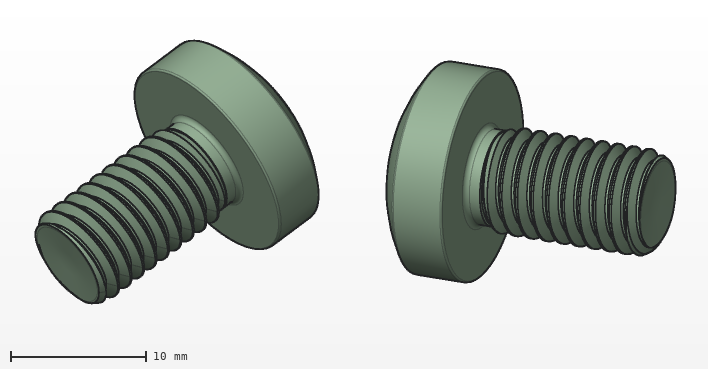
import cadquery as cq
import math


head_radius = 8.0
head_height = 6.0
dome_height = 2.05
crown_radius = 4.08
head_edge_round = 0.15

shank_length = 14.0
neck_radius = 3.6
neck_fillet = 0.4

thread_radius = 4.0
four_turn_advance = 5.0
pitch = four_turn_advance / 4
thread_depth = 0.75
half_flank_angle = math.radians(30)
crest_width = pitch / 8
thread_start = pitch
thread_end_radius = 3.5
end_taper_angle = math.radians(30)

hollow_radius = 3.3
hollow_depth = 0.2

overlap = 0.08


def make_head():
    """Revolved head: flat crown, spherical dome centred on the axis, cylindrical rim."""
    rim_height = head_height - dome_height
    dome_centre = (
        head_height**2 + crown_radius**2 - head_radius**2 - rim_height**2
    ) / (2 * dome_height)
    dome_radius = math.hypot(crown_radius, head_height - dome_centre)
    mid_radius = (crown_radius + head_radius) / 2
    mid_height = dome_centre + math.sqrt(dome_radius**2 - mid_radius**2)
    head = (
        cq.Workplane("XZ")
        .lineTo(head_radius, 0)
        .lineTo(head_radius, -rim_height)
        .threePointArc((mid_radius, -mid_height), (crown_radius, -head_height))
        .lineTo(0, -head_height)
        .close()
        .revolve(360, (0, 0, 0), (0, 1, 0))
    )
    underside_edge = head.faces(">Z").edges()
    dome_edge = head.edges(cq.selectors.BoxSelector(
        (-2 * head_radius, -2 * head_radius, -rim_height - overlap),
        (2 * head_radius, 2 * head_radius, -rim_height + overlap),
    ))
    return underside_edge.add(dome_edge).fillet(head_edge_round)


def make_neck():
    """Plain neck that flares into the underside of the head."""
    arc_reach = neck_fillet * (1 - math.sqrt(0.5))
    return (
        cq.Workplane("XZ")
        .moveTo(0, -overlap)
        .lineTo(neck_radius + neck_fillet, -overlap)
        .lineTo(neck_radius + neck_fillet, 0)
        .threePointArc((neck_radius + arc_reach, arc_reach), (neck_radius, neck_fillet))
        .lineTo(neck_radius, thread_start)
        .lineTo(0, thread_start)
        .close()
        .revolve(360, (0, 0, 0), (0, 1, 0))
    )


def make_thread_blank():
    """Cylinder tapered at both ends, with a conical hollow in the tip."""
    taper_length = (thread_radius - thread_end_radius) / math.tan(end_taper_angle)
    return (
        cq.Workplane("XZ")
        .moveTo(0, thread_start)
        .lineTo(thread_end_radius, thread_start)
        .lineTo(thread_radius, thread_start + taper_length)
        .lineTo(thread_radius, shank_length - taper_length)
        .lineTo(thread_end_radius, shank_length)
        .lineTo(hollow_radius, shank_length)
        .lineTo(0, shank_length - hollow_depth)
        .close()
        .revolve(360, (0, 0, 0), (0, 1, 0))
    )


def make_groove_turn():
    """One turn of the right-hand helical V groove, starting on the +X side at Z = 0."""
    root_radius = thread_radius - thread_depth
    outer_radius = thread_radius + overlap
    flank_slope = math.tan(half_flank_angle)
    outer_half_width = (pitch - crest_width) / 2 + overlap * flank_slope
    root_half_width = outer_half_width - (outer_radius - root_radius) * flank_slope
    path = cq.Wire.makeHelix(pitch, pitch, root_radius)
    return (
        cq.Workplane("XZ")
        .moveTo(root_radius, -root_half_width)
        .lineTo(outer_radius, -outer_half_width)
        .lineTo(outer_radius, outer_half_width)
        .lineTo(root_radius, root_half_width)
        .close()
        .sweep(cq.Workplane(path), isFrenet=True)
    )


def make_thread():
    """Thread blank with the groove cut turn by turn, past both ends.

    On the +X side the crests lie at whole multiples of the pitch.
    """
    thread = make_thread_blank()
    groove_turn = make_groove_turn()
    turn_count = math.ceil(shank_length / pitch) + 1
    for turn in range(turn_count):
        turn_start = (turn - 0.5) * pitch
        thread = thread.cut(groove_turn.translate((0, 0, turn_start)), clean=False)
    return thread


screw = make_head().union(make_neck()).union(make_thread(), clean=False)
result = screw.rotate((0, 0, 0), (1, 0, 0), 90)